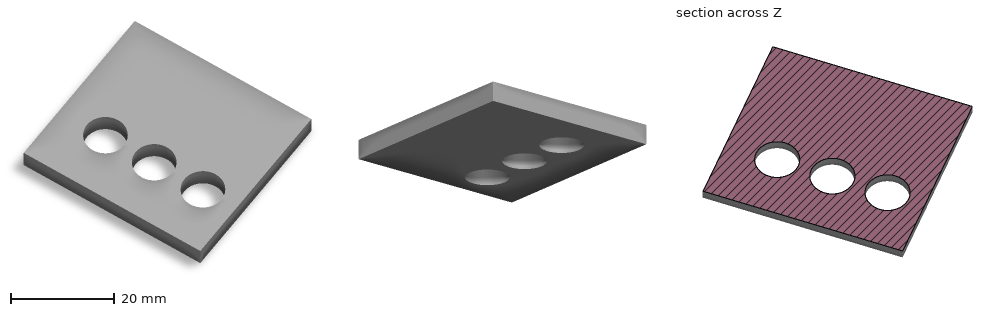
import cadquery as cq

plate_length = 41.4
plate_width = 38.1
plate_thickness = 4.0

hole_diameter = 8.65
hole_count = 3
hole_pitch = 11.43
first_hole_from_left = 10.7
row_from_front = 12.4

plate = cq.Workplane("XY").box(plate_length, plate_width, plate_thickness, centered=False)

hole_centers = [
    (first_hole_from_left + index * hole_pitch, row_from_front)
    for index in range(hole_count)
]
holes = (
    cq.Workplane("XY")
    .pushPoints(hole_centers)
    .circle(hole_diameter / 2)
    .extrude(plate_thickness)
)

result = plate.cut(holes)